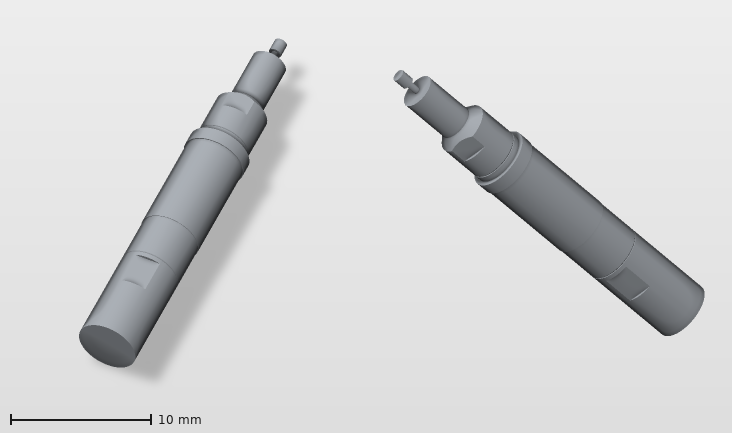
import cadquery as cq

overall_length = 29.7
half_length = overall_length / 2

knob_diameter = 0.95
knob_end = 1.0
stem_diameter = 0.5
stem_end = 2.0

shaft_diameter = 2.6
shaft_end = 6.0
sleeve_diameter = 4.0
cone_end = shaft_end + (sleeve_diameter - shaft_diameter) / 2
sleeve_joint = 9.98
neck_diameter = 4.05

collar_diameter = 4.7
collar_start = 10.48
collar_end = 11.5
barrel_diameter = 4.5
barrel_end = 19.0

rear_diameter = 4.43
rear_joint = 22.48

joint_chamfer = 0.1

front_flat_end = 8.0
front_flat_spacing = 3.47
rear_flat_start = 22.8
rear_flat_end = 25.3
rear_flat_spacing = 3.98


def cylinder(diameter, start, end):
    """Round section between two stations."""
    plane = cq.Workplane("XZ", origin=(0, half_length - start, 0))
    return plane.circle(diameter / 2).extrude(end - start)


def flat_cutters(spacing, start, end):
    """Pair of blocks that leave flats a given spacing apart, between two stations."""
    middle = half_length - (start + end) / 2
    depth = collar_diameter / 2
    blocks = cq.Workplane("XY")
    for side in (1, -1):
        block = cq.Workplane("XY").box(collar_diameter, end - start, depth)
        blocks = blocks.add(block.translate((0, middle, side * (spacing + depth) / 2)))
    return blocks.combine()


knob = cylinder(knob_diameter, 0, knob_end)
stem = cylinder(stem_diameter, knob_end, stem_end)
shaft = cylinder(shaft_diameter, stem_end, shaft_end)

front_sleeve = cylinder(sleeve_diameter, shaft_end, sleeve_joint)
front_sleeve = front_sleeve.faces(">Y").chamfer(cone_end - shaft_end)
front_sleeve = front_sleeve.faces("<Y").chamfer(joint_chamfer)
front_sleeve = front_sleeve.cut(flat_cutters(front_flat_spacing, shaft_end, front_flat_end))

neck = cylinder(neck_diameter, sleeve_joint, collar_start)
collar = cylinder(collar_diameter, collar_start, collar_end)
barrel = cylinder(barrel_diameter, collar_end, barrel_end)
barrel_tail = cylinder(rear_diameter, barrel_end, rear_joint)
barrel_tail = barrel_tail.faces("<Y").chamfer(joint_chamfer)

rear_sleeve = cylinder(rear_diameter, rear_joint, overall_length)
rear_sleeve = rear_sleeve.cut(flat_cutters(rear_flat_spacing, rear_flat_start, rear_flat_end))

result = knob
for section in (stem, shaft, front_sleeve, neck, collar, barrel, barrel_tail, rear_sleeve):
    result = result.union(section)